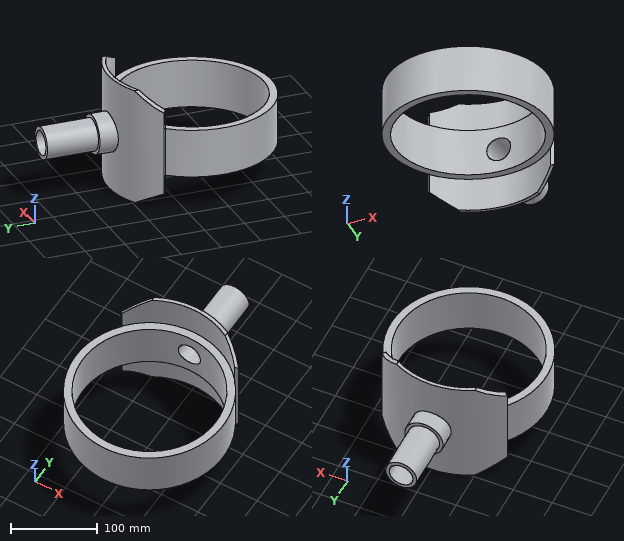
import cadquery as cq
import math

ring_radius = 100.0
ring_wall = 10.0
ring_height = 60.0

plate_thickness = 5.0
plate_height = 144.0
plate_half_angle = 50.0
plate_flat_width = 100.0
plate_edge_height = 103.5

pipe_radius = 20.0
bore_radius = 15.0
collar_radius = 24.3
collar_end = 125.0
overall_length = 289.0

ring_inner_radius = ring_radius - ring_wall
plate_radius = ring_radius + plate_thickness
pipe_end = overall_length - ring_radius


def cylinder_z(radius, height):
    return cq.Workplane("XY").circle(radius).extrude(height / 2, both=True)


def cylinder_y(radius, end):
    """Cylinder along +Y from the ring axis to the given end."""
    return cq.Workplane("XZ").circle(radius).extrude(-end)


def saddle_plate():
    sine = math.sin(math.radians(plate_half_angle))
    cosine = math.cos(math.radians(plate_half_angle))
    arc_band = (
        cq.Workplane("XY")
        .moveTo(-ring_radius * sine, ring_radius * cosine)
        .threePointArc((0, ring_radius), (ring_radius * sine, ring_radius * cosine))
        .lineTo(plate_radius * sine, plate_radius * cosine)
        .threePointArc((0, plate_radius), (-plate_radius * sine, plate_radius * cosine))
        .close()
        .extrude(plate_height / 2, both=True)
    )
    half_width = plate_radius * sine
    half_flat = plate_flat_width / 2
    half_height = plate_height / 2
    half_edge = plate_edge_height / 2
    outline = (
        cq.Workplane("XZ")
        .polyline([
            (-half_flat, half_height),
            (half_flat, half_height),
            (half_width, half_edge),
            (half_width, -half_edge),
            (half_flat, -half_height),
            (-half_flat, -half_height),
            (-half_width, -half_edge),
            (-half_width, half_edge),
        ])
        .close()
        .extrude(-plate_radius)
    )
    return arc_band.intersect(outline)


def pipe_with_collar():
    pipe = cylinder_y(pipe_radius, pipe_end).union(cylinder_y(collar_radius, collar_end))
    return pipe.cut(cylinder_z(ring_radius, plate_height))


ring = cylinder_z(ring_radius, ring_height).cut(cylinder_z(ring_inner_radius, ring_height))
body = ring.union(saddle_plate()).union(pipe_with_collar())
result = body.cut(cylinder_y(bore_radius, pipe_end))